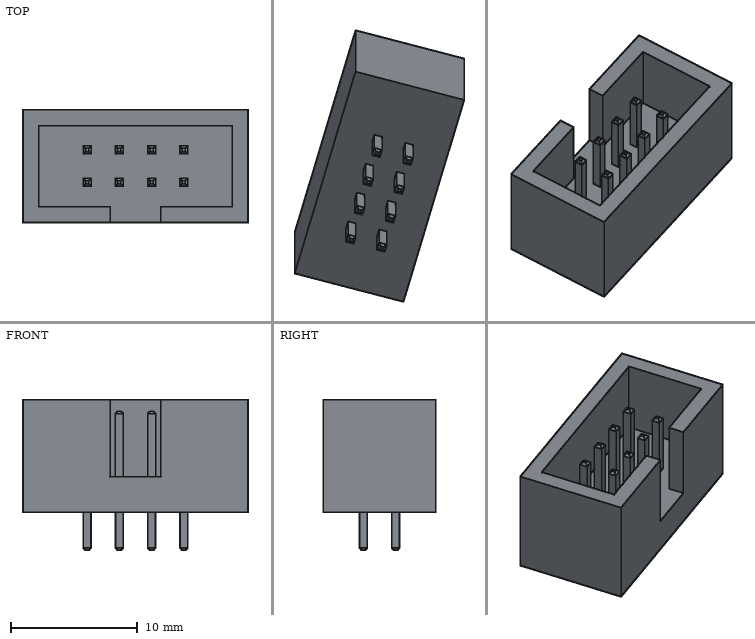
import cadquery as cq

housing_length = 17.78
housing_width = 8.9
housing_height = 8.89
wall = 1.26
cavity_depth = 6.08
floor_z = housing_height - cavity_depth

notch_width = 4.02

pin_columns = 4
pin_rows = 2
pin_pitch = 2.55
pin_side = 0.64
pin_tip = 0.2
pin_tail = 3.0
pin_recess = 0.9
pin_length = housing_height - pin_recess + pin_tail


def block(length, width, height, y, bottom_z):
    """Box centred on X = 0 and on the given Y, standing on bottom_z."""
    box = cq.Workplane("XY").box(length, width, height, centered=(True, True, False))
    return box.translate((0, y, bottom_z))


def make_housing():
    shell = block(housing_length, housing_width, housing_height, 0, 0)
    cavity = block(housing_length - 2 * wall, housing_width - 2 * wall, cavity_depth, 0, floor_z)
    notch_y = (wall - housing_width) / 2
    notch = block(notch_width, wall, cavity_depth, notch_y, floor_z)
    return shell.cut(cavity).cut(notch)


def make_pin():
    pin = block(pin_side, pin_side, pin_length, 0, -pin_tail)
    return pin.faces("<Z or >Z").chamfer(pin_tip)


result = make_housing()
pin = make_pin()
for column in range(pin_columns):
    for row in range(pin_rows):
        pin_x = (column - (pin_columns - 1) / 2) * pin_pitch
        pin_y = (row - (pin_rows - 1) / 2) * pin_pitch
        result = result.union(pin.translate((pin_x, pin_y, 0)))